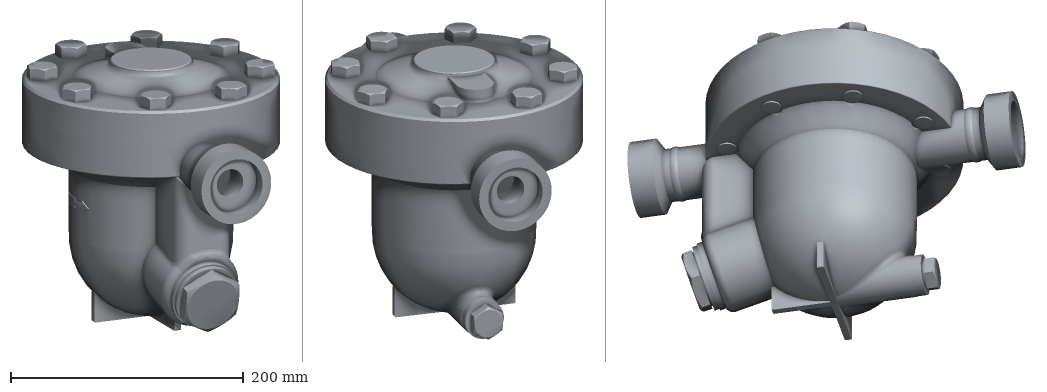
import cadquery as cq
import math

Z_DIR = cq.Vector(0, 0, 1)

pick_margin = 1.0

hex_face_share = 0.96
hex_turn_angle = 30.0

flange_radius = 222 / 2
flange_bottom = -6.0
flange_joint = 26.5
flange_top = 53.6
flange_top_chamfer = 2.0
flange_bottom_round = 1.0

body_radius = 70.8
cone_top_radius = 85.0
cone_bottom = -25.5
dome_joint = -84.2
dome_bottom = -158.7
base_z = -160.0

cover_cone_radius = 67.4
cover_knee_radius = 56.0
cover_knee_z = 57.2
cover_cone_angle = 16.4
boss_radius = 70 / 2
boss_top = 68.9
boss_root_round = 5.0
boss_rim_chamfer = 0.8
lug_radius = 16.5
lug_centre_x = -54.0
lug_top = 65.3
lug_root_round = 2.5

bolt_count = 8
bolt_circle_radius = 93.6
first_bolt_angle = 180 / bolt_count
bolt_angles = [first_bolt_angle + index * 360 / bolt_count for index in range(bolt_count)]
bolt_across_flats = 24.0
bolt_head_height = 10.6
bolt_shank_diameter = 16.0
bolt_tip_length = 1.2
spot_face_diameter = 21.0
spot_face_depth = 4.0

inlet_x = -161.0
outlet_x = 175.0
pipe_radius = 46 / 2
socket_outer_radius = 66 / 2
socket_outer_length = 22.0
socket_taper_length = 6.5
weld_start = 34.6
weld_width = 7.0
weld_height = 0.9
socket_bore_radius = 49.5 / 2
socket_bore_depth = 13.0
pipe_bore_radius = 25 / 2
pipe_bore_depth = 40.0

drain_radius = 36 / 2
drain_z = base_z + drain_radius
drain_end_x = -80.0
drain_root_round = 5.0
drain_ring_radius = 17.6
drain_ring_length = 9.5
drain_neck_radius = 25 / 2
drain_neck_length = 1.3
drain_across_flats = 26.0
drain_head_height = 9.8

port_tilt = 15.0
port_axis_z = -84.0
port_radius = 36.0
port_length = 110.0
port_end_round = 7.5
collar_radius = 58 / 2
collar_length = 4.5
seat_radius = 30.5
seat_length = 5.0
port_neck_radius = 49.1 / 2
port_neck_length = 1.5
port_across_flats = 50.0
port_head_height = 10.1

passage_half_width = 26.0
passage_end_x = 113.4
passage_start_x = 40.0
passage_round = 12.9
passage_root_round = 7.0
passage_floor_offset = 5.0
port_blank_length = 150.0

foot_reach = 55.0
foot_thickness = 6.0
foot_top = -133.3
foot_round = 1.5

arrow_z = -52.0
arrow_tail_x = -20.0
arrow_notch = 3.0
arrow_step_x = -1.5
arrow_head_x = 11.5
arrow_tip_x = 20.0
arrow_tail_half = 4.5
arrow_shaft_half = 2.0
arrow_head_half = 5.0
arrow_height = 1.0


def cylinder(radius, length, start, direction):
    """Cylinder of the given length from a start point along a direction."""
    return cq.Workplane(cq.Solid.makeCylinder(radius, length, cq.Vector(*start), direction))


def pick_box(low, high):
    """Selector for the edges lying wholly inside a box, with a little slack."""
    return cq.selectors.BoxSelector(
        tuple(value - pick_margin for value in low),
        tuple(value + pick_margin for value in high),
        boundingbox=True,
    )


def hex_head(across_flats, height, start, direction, corner_direction):
    """Hexagon head with its outer corners turned down to a cone."""
    plane = cq.Plane(origin=start, xDir=corner_direction, normal=direction)
    corner_radius = across_flats / math.sqrt(3)
    face_radius = hex_face_share * across_flats / 2
    run = corner_radius - face_radius
    drop = run * math.tan(math.radians(hex_turn_angle))
    prism = cq.Workplane(plane).polygon(6, 2 * corner_radius).extrude(height)
    turned = cq.Workplane(plane).circle(corner_radius).extrude(height)
    turned = turned.faces(cq.selectors.DirectionMinMaxSelector(direction, True)).chamfer(drop, run)
    return prism.intersect(turned)


def make_body():
    """Lower flange, cone, cylinder and dome as one turned shape."""
    dome_depth = dome_joint - dome_bottom
    dome_radius = (body_radius**2 + dome_depth**2) / (2 * dome_depth)
    dome_mid = dome_radius * math.sqrt(0.5)
    dome_mid_z = dome_bottom + dome_radius - dome_mid
    turned = (
        cq.Workplane("XZ")
        .moveTo(0, flange_joint)
        .lineTo(flange_radius, flange_joint)
        .lineTo(flange_radius, flange_bottom)
        .lineTo(cone_top_radius, flange_bottom)
        .lineTo(body_radius, cone_bottom)
        .lineTo(body_radius, dome_joint)
        .threePointArc((dome_mid, dome_mid_z), (0, dome_bottom))
        .close()
        .revolve(360, (0, 0, 0), (0, 1, 0))
    )
    flange_edge = pick_box(
        (-flange_radius, -flange_radius, flange_bottom),
        (flange_radius, flange_radius, flange_bottom),
    )
    return turned.edges(flange_edge).edges(cq.selectors.RadiusNthSelector(-1)).fillet(flange_bottom_round)


def make_cover():
    """Upper flange with its shallow cone, round boss and side lug."""
    slope = math.tan(math.radians(cover_cone_angle))
    disc = cylinder(flange_radius, flange_top - flange_joint, (0, 0, flange_joint), Z_DIR)
    disc = disc.faces(">Z").edges().chamfer(flange_top_chamfer)
    boss_root_z = cover_knee_z + (cover_knee_radius - boss_radius) * slope
    crown = (
        cq.Workplane("XZ")
        .moveTo(0, flange_joint)
        .lineTo(cover_cone_radius, flange_joint)
        .lineTo(cover_cone_radius, flange_top)
        .lineTo(cover_knee_radius, cover_knee_z)
        .lineTo(boss_radius, boss_root_z)
        .lineTo(boss_radius, boss_top)
        .lineTo(0, boss_top)
        .close()
        .revolve(360, (0, 0, 0), (0, 1, 0))
    )
    crown = crown.faces(">Z").edges().chamfer(boss_rim_chamfer)
    boss_root = pick_box(
        (-boss_radius, -boss_radius, boss_root_z),
        (boss_radius, boss_radius, boss_root_z),
    )
    crown = crown.edges(boss_root).fillet(boss_root_round)
    cover = disc.union(crown)
    lug_height = lug_top - flange_joint
    lug = cylinder(lug_radius, lug_height, (lug_centre_x, 0, flange_joint), Z_DIR)
    web = cq.Workplane("XY").box(-lug_centre_x, 2 * lug_radius, lug_height, centered=(False, True, False))
    lug = lug.union(web.translate((lug_centre_x, 0, flange_joint)))
    cover = cover.union(lug)
    lug_root = pick_box(
        (lug_centre_x - lug_radius, -lug_radius, flange_top),
        (-boss_radius + boss_root_round, lug_radius, lug_top - 2 * pick_margin),
    )
    return cover.edges(lug_root).edges("not |Z").fillet(lug_root_round)


def make_pipe_end(end_x, inward_sign):
    """Solid socket, taper, weld bead and pipe from one end to the body axis."""
    weld_end = weld_start + weld_width
    taper_end = socket_outer_length + socket_taper_length
    profile = (
        cq.Workplane("XY")
        .moveTo(0, 0)
        .lineTo(0, socket_outer_radius)
        .lineTo(socket_outer_length, socket_outer_radius)
        .lineTo(taper_end, pipe_radius)
        .lineTo(weld_start, pipe_radius)
        .threePointArc((weld_start + weld_width / 2, pipe_radius + weld_height), (weld_end, pipe_radius))
        .lineTo(abs(end_x), pipe_radius)
        .lineTo(abs(end_x), 0)
        .close()
        .revolve(360, (0, 0, 0), (1, 0, 0))
    )
    if inward_sign < 0:
        profile = profile.mirror("YZ")
    return profile.translate((end_x, 0, 0))


def make_pipe_bores(end_x, inward_sign):
    """Stepped bore of one pipe end."""
    direction = cq.Vector(inward_sign, 0, 0)
    socket = cylinder(socket_bore_radius, socket_bore_depth, (end_x, 0, 0), direction)
    return socket.union(cylinder(pipe_bore_radius, pipe_bore_depth, (end_x, 0, 0), direction))


def add_drain_boss(body):
    """Join the drain boss to the dome with a rounded root, and add its turned end ring."""
    inward = cq.Vector(1, 0, 0)
    boss_start_x = drain_end_x + drain_ring_length
    boss = cylinder(drain_radius, -boss_start_x, (boss_start_x, 0, drain_z), inward)
    joined = body.union(boss)
    root = pick_box(
        (boss_start_x + 2 * pick_margin, -drain_radius, base_z),
        (0, drain_radius, drain_z + drain_radius),
    )
    joined = joined.edges(root).edges("%BSPLINE").fillet(drain_root_round)
    return joined.union(cylinder(drain_ring_radius, drain_ring_length, (drain_end_x, 0, drain_z), inward))


def make_drain_plug():
    """Neck and hexagon head of the drain plug."""
    outward = cq.Vector(-1, 0, 0)
    neck = cylinder(drain_neck_radius, drain_neck_length, (drain_end_x, 0, drain_z), outward)
    head_start = (drain_end_x - drain_neck_length, 0, drain_z)
    return neck.union(hex_head(drain_across_flats, drain_head_height, head_start, outward, Z_DIR))


def make_strainer():
    """Strainer port, collar, plug and passage up to the flange."""
    tilt = math.radians(port_tilt)
    axis = cq.Vector(math.cos(tilt), 0, -math.sin(tilt))
    upward = cq.Vector(math.sin(tilt), 0, math.cos(tilt))
    origin = cq.Vector(0, 0, port_axis_z)

    def along(distance):
        return (origin + axis * distance).toTuple()

    port = cylinder(port_radius, port_blank_length, along(0), axis)
    floor = origin + upward * passage_floor_offset
    floor_start_z = floor.z - (passage_start_x - floor.x) * math.tan(tilt)
    floor_end_z = floor.z - (passage_end_x - floor.x) * math.tan(tilt)
    passage = (
        cq.Workplane("XZ")
        .moveTo(passage_start_x, flange_bottom)
        .lineTo(passage_end_x - passage_round, flange_bottom)
        .radiusArc((passage_end_x, flange_bottom - passage_round), passage_round)
        .lineTo(passage_end_x, floor_end_z)
        .lineTo(passage_start_x, floor_start_z)
        .close()
        .extrude(passage_half_width, both=True)
    )
    plan_length = passage_end_x - passage_start_x
    plan_height = flange_bottom - floor_end_z
    plan_width = 2 * passage_half_width
    plan = cq.Workplane("XY").box(plan_length, plan_width, plan_height, centered=(False, True, False))
    plan = plan.edges("|Z and >X").fillet(passage_round).translate((passage_start_x, 0, floor_end_z))
    passage = passage.intersect(plan)
    blank = port.union(passage)
    root = cq.selectors.BoxSelector(
        (passage_start_x + pick_margin, -passage_half_width, port_axis_z - port_radius),
        (passage_end_x + pick_margin, passage_half_width, port_axis_z + port_radius / 2),
    )
    blank = blank.edges(root).fillet(passage_root_round)
    strainer = blank.cut(cylinder(2 * port_radius, port_blank_length, along(port_length), axis))
    port_end = cq.selectors.DirectionMinMaxSelector(axis, True)
    strainer = strainer.faces(port_end).edges().fillet(port_end_round)
    strainer = strainer.union(cylinder(seat_radius, seat_length, along(port_length), axis))
    collar_start = port_length + seat_length
    strainer = strainer.union(cylinder(collar_radius, collar_length, along(collar_start), axis))
    neck_start = collar_start + collar_length
    strainer = strainer.union(cylinder(port_neck_radius, port_neck_length, along(neck_start), axis))
    head_start = along(neck_start + port_neck_length)
    return strainer.union(hex_head(port_across_flats, port_head_height, head_start, axis, upward))


def make_feet():
    """Cross plate and +X plate that the trap stands on."""
    height = foot_top - base_z
    cross = cq.Workplane("XY").box(foot_thickness, 2 * foot_reach, height, centered=(True, True, False))
    cross = cross.edges("|X and <Z").fillet(foot_round)
    side = cq.Workplane("XY").box(foot_reach, foot_thickness, height, centered=(False, True, False))
    side = side.edges("|Y and <Z and >X").fillet(foot_round)
    return cross.union(side).translate((0, 0, base_z))


def make_bolt():
    """One cover bolt: head above the flange and shank tip below it."""
    head_base = cq.Vector(bolt_circle_radius, 0, flange_top)
    turn = math.radians(first_bolt_angle)
    corner = cq.Vector(math.cos(turn), -math.sin(turn), 0)
    head = hex_head(bolt_across_flats, bolt_head_height, head_base.toTuple(), Z_DIR, corner)
    shank_bottom = flange_bottom - bolt_tip_length
    shank_start = (bolt_circle_radius, 0, shank_bottom)
    shank = cylinder(bolt_shank_diameter / 2, flange_top - shank_bottom, shank_start, Z_DIR)
    return head.union(shank)


def make_arrow():
    """Flow arrow pointing to the outlet, raised from the body wall."""
    outline = [
        (arrow_tail_x, arrow_tail_half),
        (arrow_step_x, arrow_tail_half),
        (arrow_step_x, arrow_shaft_half),
        (arrow_head_x, arrow_shaft_half),
        (arrow_head_x, arrow_head_half),
        (arrow_tip_x, 0),
    ]
    mirrored = [(x, -z) for x, z in reversed(outline[:-1])]
    notch = [(arrow_tail_x + arrow_notch, 0)]
    prism = cq.Workplane("XZ", origin=(0, 0, arrow_z)).polyline(outline + mirrored + notch).close()
    prism = prism.extrude(body_radius + 2 * arrow_height)
    shell_bottom = arrow_z - 2 * arrow_head_half
    shell = cylinder(body_radius + arrow_height, 4 * arrow_head_half, (0, 0, shell_bottom), Z_DIR)
    return prism.intersect(shell)


def cut_spot_faces(body):
    """Clear the cone around each bolt just under the flange."""
    start = (bolt_circle_radius, 0, flange_bottom)
    spot_face = cylinder(spot_face_diameter / 2, spot_face_depth, start, -Z_DIR)
    for angle in bolt_angles:
        body = body.cut(spot_face.rotate((0, 0, 0), (0, 0, 1), angle))
    return body


def add_bolts(trap):
    """Fit the ring of cover bolts."""
    bolt = make_bolt()
    for angle in bolt_angles:
        trap = trap.union(bolt.rotate((0, 0, 0), (0, 0, 1), angle))
    return trap


def add_pipe_ends(trap):
    """Add the inlet and outlet pipes with their stepped bores."""
    for end_x, inward_sign in ((inlet_x, 1), (outlet_x, -1)):
        trap = trap.union(make_pipe_end(end_x, inward_sign))
        trap = trap.cut(make_pipe_bores(end_x, inward_sign))
    return trap


result = add_drain_boss(cut_spot_faces(make_body()))
for piece in (make_strainer(), make_cover(), make_feet(), make_drain_plug(), make_arrow()):
    result = result.union(piece)
result = add_bolts(add_pipe_ends(result))